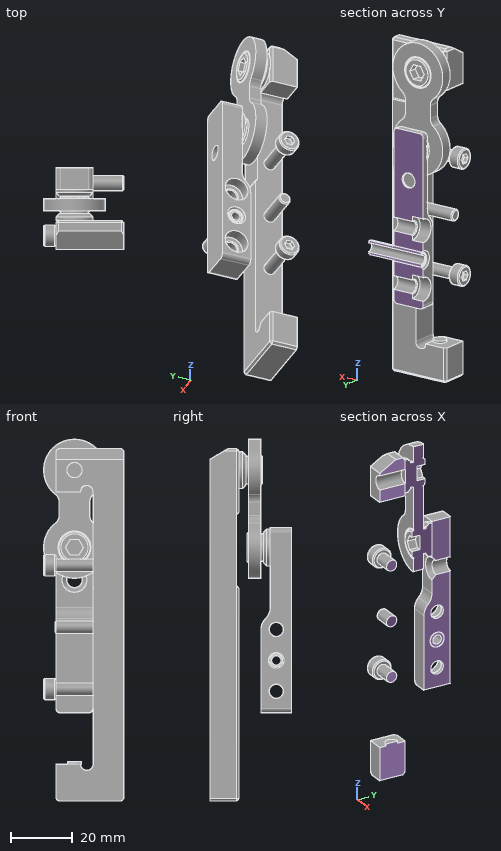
import cadquery as cq
import math


HALF_WIDTH = 6.0
LINK_PITCH = 25.0
LINK_GAP = 3.0

FRAME_RIGHT = 16.0
FRAME_DEPTH = 9.5
FRAME_TOP = 7.0
FRAME_BOTTOM = -107.0
UPPER_JAW_Z = -7.0
LOWER_JAW_Z = -95.0
RELIEF_RADIUS = 2.0
FRAME_CHAMFER = 0.8
BEVEL_DEPTH = 6.0
BEVEL_HEIGHT = 3.5
RECESS_DEPTH = 0.8
RECESS_CENTER_Z = -25.9
RECESS_LENGTH = 23.0
JAW_STUD_DIAMETER = 4.5
JAW_STUD_HEIGHT = 0.75
M6_CORE = 4.92

LINK_THICKNESS = 4.0
LINK_RADIUS = 10.0
LINK_NECK_WIDTH = 10.0
LINK_FILLET = 3.0
LINK_FRONT = FRAME_DEPTH + LINK_GAP
LINK_BACK = LINK_FRONT + LINK_THICKNESS

COLLAR_DIAMETER = 12.0
COLLAR_CHAMFER = 1.1
COLLAR_HEIGHT = 2.2
STUD_NECK_DIAMETER = 9.0
HEAD_DIAMETER = 10.0
HEAD_HEIGHT = 0.5
HEAD_CHAMFER = 0.6
RIM_CHAMFER = 0.3
STUD_HEX = 5.0
STUD_HEX_DEPTH = 3.0

CARRIER_FRONT = LINK_BACK
CARRIER_BACK = 26.5
CARRIER_UPPER_FRONT = LINK_BACK + LINK_GAP
CARRIER_HEIGHT = 60.0
CARRIER_BOTTOM = -78.5
CARRIER_TOP = CARRIER_BOTTOM + CARRIER_HEIGHT
CARRIER_CORNER = 1.5
STEP_MIDDLE_Z = -48.0
STEP_ANGLE = math.radians(45)
CARRIER_AXIS_Y = (CARRIER_FRONT + CARRIER_BACK) / 2
CARRIER_HOLE_MARGIN = 7.0
CARRIER_HOLE_PITCH = 10.0
BOLT_CLEARANCE = 4.5
COUNTERBORE_DIAMETER = 8.0
COUNTERBORE_DEPTH = 4.4
BOLT_HOLE_CHAMFER = 0.3
SPARE_HOLE_DROP = 17.0
SPARE_COUNTERSINK = 8.0

FRAME_SCREW_Y = 4.5
FRAME_SCREW_Z = -50.78
FRAME_SCREW_PITCH = 20.0
M4 = 4.0
M4_CORE = 3.24
CAP_HEAD_DIAMETER = 7.0
CAP_HEAD_HEIGHT = 4.0
CAP_CHAMFER = 0.4
CAP_LENGTH = 16.0
CAP_SOCKET = 3.0
CAP_SOCKET_DEPTH = 1.5
CONE_HALF_ANGLE = math.radians(60)
M4_SET_LEFT = -6.3
M4_SET_RIGHT = 10.0
M5 = 5.0
M5_CORE = 4.13
M5_BORE = 3.0
M5_COUNTERSINK = 6.3
M5_SET_RIGHT = 16.0

CARRIER_SCREW_Z = CARRIER_BOTTOM + CARRIER_HOLE_MARGIN + CARRIER_HOLE_PITCH
M5_COUNTERSINK_DEPTH = (M5_COUNTERSINK - M5) / 2
BOLT_ROWS = (-1, 1)


def block(x0, x1, y0, y1, z0, z1):
    return cq.Workplane("XY").box(x1 - x0, y1 - y0, z1 - z0, centered=False).translate((x0, y0, z0))


def rod_x(diameter, x0, x1, y, z):
    """Cylinder along +X."""
    return cq.Workplane("YZ", origin=(x0, y, z)).circle(diameter / 2).extrude(x1 - x0)


def rod_y(diameter, y0, y1, x, z):
    """Cylinder along +Y."""
    return cq.Workplane("XZ", origin=(x, y0, z)).circle(diameter / 2).extrude(y0 - y1)


def hex_x(flats, x0, x1, y, z):
    """Hexagonal prism along +X with corners front and back."""
    corners = flats / math.cos(math.pi / 6)
    return cq.Workplane("YZ", origin=(x0, y, z)).polygon(6, corners).extrude(x1 - x0)


def cone(bottom_diameter, top_diameter, height, base, direction):
    base_point = cq.Vector(*base)
    axis = cq.Vector(*direction)
    return cq.Workplane(cq.Solid.makeCone(bottom_diameter / 2, top_diameter / 2, height, base_point, axis))


def make_frame():
    body = block(-HALF_WIDTH, FRAME_RIGHT, 0, FRAME_DEPTH, FRAME_BOTTOM, FRAME_TOP)
    body = body.edges("|Y or >Y").chamfer(FRAME_CHAMFER)

    opening = block(-HALF_WIDTH, HALF_WIDTH, 0, FRAME_DEPTH, LOWER_JAW_Z, UPPER_JAW_Z)
    for z in (LOWER_JAW_Z, UPPER_JAW_Z):
        opening = opening.union(rod_y(2 * RELIEF_RADIUS, 0, FRAME_DEPTH, HALF_WIDTH - RELIEF_RADIUS, z))
    body = body.cut(opening)

    bevel = (
        cq.Workplane("YZ", origin=(-HALF_WIDTH, 0, 0))
        .moveTo(0, FRAME_TOP)
        .lineTo(BEVEL_DEPTH, FRAME_TOP)
        .lineTo(0, FRAME_TOP - BEVEL_HEIGHT)
        .close()
        .extrude(FRAME_RIGHT + HALF_WIDTH)
    )
    body = body.cut(bevel)

    recess_bottom = RECESS_CENTER_Z - RECESS_LENGTH / 2
    recess_top = RECESS_CENTER_Z + RECESS_LENGTH / 2
    recess = (
        cq.Workplane("YZ", origin=(-HALF_WIDTH, 0, 0))
        .moveTo(FRAME_DEPTH, recess_bottom - RECESS_DEPTH)
        .lineTo(FRAME_DEPTH - RECESS_DEPTH, recess_bottom)
        .lineTo(FRAME_DEPTH - RECESS_DEPTH, recess_top)
        .lineTo(FRAME_DEPTH, recess_top + RECESS_DEPTH)
        .close()
        .extrude(FRAME_RIGHT + HALF_WIDTH)
    )
    body = body.cut(recess)

    body = body.cut(rod_y(M6_CORE, 0, FRAME_DEPTH, 0, 0))

    for row in BOLT_ROWS:
        z = FRAME_SCREW_Z + row * FRAME_SCREW_PITCH
        body = body.cut(rod_x(M4, HALF_WIDTH, CAP_LENGTH - HALF_WIDTH, FRAME_SCREW_Y, z))
    body = body.cut(rod_x(M4, HALF_WIDTH, M4_SET_RIGHT, FRAME_SCREW_Y, FRAME_SCREW_Z))

    jaw_stud = (
        cq.Workplane("XY", origin=(0, FRAME_SCREW_Y, LOWER_JAW_Z))
        .circle(JAW_STUD_DIAMETER / 2)
        .extrude(JAW_STUD_HEIGHT)
    )
    return body.union(jaw_stud)


def stud_profile():
    """Solid of revolution of one stud about +Y, from its collar face at Y = 0 to its head."""
    collar = COLLAR_DIAMETER / 2
    head = HEAD_DIAMETER / 2
    link_far_face = LINK_GAP + LINK_THICKNESS
    return (
        cq.Workplane("XY")
        .moveTo(0, 0)
        .lineTo(collar, 0)
        .lineTo(collar, COLLAR_HEIGHT - COLLAR_CHAMFER)
        .lineTo(collar - COLLAR_CHAMFER, COLLAR_HEIGHT)
        .lineTo(STUD_NECK_DIAMETER / 2, COLLAR_HEIGHT)
        .lineTo(STUD_NECK_DIAMETER / 2, LINK_GAP)
        .lineTo(head, LINK_GAP)
        .lineTo(head, link_far_face)
        .lineTo(head - HEAD_CHAMFER, link_far_face + HEAD_HEIGHT)
        .lineTo(0, link_far_face + HEAD_HEIGHT)
        .close()
        .revolve(360, (0, 0, 0), (0, 1, 0))
    )


def make_stud():
    """One stud along +Y and the hexagon socket to cut from its head."""
    head_face = LINK_GAP + LINK_THICKNESS + HEAD_HEIGHT
    socket = (
        cq.Workplane("XZ", origin=(0, head_face, 0))
        .polygon(6, STUD_HEX / math.cos(math.pi / 6))
        .extrude(STUD_HEX_DEPTH)
    )
    return stud_profile(), socket


def make_link():
    """Link plate and its two studs, which face opposite ways."""
    disc = rod_y(2 * LINK_RADIUS, LINK_FRONT, LINK_BACK, 0, 0)
    neck_half = LINK_NECK_WIDTH / 2
    neck = block(-neck_half, neck_half, LINK_FRONT, LINK_BACK, -LINK_PITCH, 0)
    plate = disc.union(disc.translate((0, 0, -LINK_PITCH))).union(neck)
    inner_corners = cq.selectors.BoxSelector(
        (-LINK_RADIUS, LINK_FRONT, -LINK_PITCH + neck_half), (LINK_RADIUS, LINK_BACK, -neck_half)
    )
    plate = plate.edges("|Y").edges(inner_corners).fillet(LINK_FILLET)

    rim = HEAD_DIAMETER + 2 * RIM_CHAMFER
    plate = plate.cut(cone(rim, HEAD_DIAMETER, RIM_CHAMFER, (0, LINK_BACK, 0), (0, -1, 0)))
    plate = plate.cut(cone(rim, HEAD_DIAMETER, RIM_CHAMFER, (0, LINK_FRONT, -LINK_PITCH), (0, 1, 0)))

    stud, socket = make_stud()
    upper_place = (0, FRAME_DEPTH, 0)
    lower_place = (0, CARRIER_UPPER_FRONT, -LINK_PITCH)
    body = plate.union(stud.translate(upper_place)).cut(socket.translate(upper_place))
    turned_stud = stud.rotate((0, 0, 0), (0, 0, 1), 180)
    turned_socket = socket.rotate((0, 0, 0), (0, 0, 1), 180)
    return body.union(turned_stud.translate(lower_place)).cut(turned_socket.translate(lower_place))


def make_carrier():
    step = CARRIER_UPPER_FRONT - CARRIER_FRONT
    step_radius = step / (2 * (1 - math.cos(STEP_ANGLE)))
    step_half = step_radius * math.sin(STEP_ANGLE)
    arc_middle_y = step_radius * (1 - math.cos(STEP_ANGLE / 2))
    arc_middle_z = step_half - step_radius * math.sin(STEP_ANGLE / 2)
    body = (
        cq.Workplane("YZ", origin=(-HALF_WIDTH, 0, 0))
        .moveTo(CARRIER_BACK, CARRIER_BOTTOM)
        .lineTo(CARRIER_BACK, CARRIER_TOP)
        .lineTo(CARRIER_UPPER_FRONT, CARRIER_TOP)
        .lineTo(CARRIER_UPPER_FRONT, STEP_MIDDLE_Z + step_half)
        .threePointArc(
            (CARRIER_UPPER_FRONT - arc_middle_y, STEP_MIDDLE_Z + arc_middle_z),
            (CARRIER_UPPER_FRONT - step / 2, STEP_MIDDLE_Z),
        )
        .threePointArc(
            (CARRIER_FRONT + arc_middle_y, STEP_MIDDLE_Z - arc_middle_z),
            (CARRIER_FRONT, STEP_MIDDLE_Z - step_half),
        )
        .lineTo(CARRIER_FRONT, CARRIER_BOTTOM)
        .close()
        .extrude(2 * HALF_WIDTH)
    )
    body = body.edges("|Y").fillet(CARRIER_CORNER)

    floor_x = COUNTERBORE_DEPTH - HALF_WIDTH
    chamfer_mouth = BOLT_CLEARANCE + 2 * BOLT_HOLE_CHAMFER
    for row in BOLT_ROWS:
        z = CARRIER_SCREW_Z + row * CARRIER_HOLE_PITCH
        body = body.cut(rod_x(BOLT_CLEARANCE, -HALF_WIDTH, HALF_WIDTH, CARRIER_AXIS_Y, z))
        body = body.cut(rod_x(COUNTERBORE_DIAMETER, -HALF_WIDTH, floor_x, CARRIER_AXIS_Y, z))
        floor_center = (floor_x, CARRIER_AXIS_Y, z)
        body = body.cut(cone(chamfer_mouth, BOLT_CLEARANCE, BOLT_HOLE_CHAMFER, floor_center, (1, 0, 0)))

    body = body.cut(rod_x(M5, -HALF_WIDTH, HALF_WIDTH, CARRIER_AXIS_Y, CARRIER_SCREW_Z))
    mouth = (-HALF_WIDTH, CARRIER_AXIS_Y, CARRIER_SCREW_Z)
    body = body.cut(cone(M5_COUNTERSINK, M5, M5_COUNTERSINK_DEPTH, mouth, (1, 0, 0)))

    spare_z = CARRIER_TOP - SPARE_HOLE_DROP
    body = body.cut(rod_y(M6_CORE, CARRIER_UPPER_FRONT, CARRIER_BACK, 0, spare_z))
    spare_sink = cone(
        SPARE_COUNTERSINK,
        M6_CORE,
        (SPARE_COUNTERSINK - M6_CORE) / 2,
        (0, CARRIER_UPPER_FRONT, spare_z),
        (0, 1, 0),
    )
    return body.cut(spare_sink)


def make_cap_screw(z):
    """M4 socket head cap screw along +X with a drilled hexagon socket."""
    head_left = -HALF_WIDTH - CAP_HEAD_HEIGHT
    head = rod_x(CAP_HEAD_DIAMETER, head_left, -HALF_WIDTH, FRAME_SCREW_Y, z).edges().chamfer(CAP_CHAMFER)
    shank = rod_x(M4, -HALF_WIDTH, CAP_LENGTH - HALF_WIDTH, FRAME_SCREW_Y, z)
    socket_floor = head_left + CAP_SOCKET_DEPTH
    socket = hex_x(CAP_SOCKET, head_left, socket_floor, FRAME_SCREW_Y, z)
    tip_height = CAP_SOCKET / 2 / math.tan(CONE_HALF_ANGLE)
    tip = cone(CAP_SOCKET, 0, tip_height, (socket_floor, FRAME_SCREW_Y, z), (1, 0, 0))
    return head.union(shank).cut(socket).cut(tip)


def make_m4_set_screw():
    body = rod_x(M4, M4_SET_LEFT, M4_SET_RIGHT, FRAME_SCREW_Y, FRAME_SCREW_Z)
    return body.faces("<X").chamfer((M4 - M4_CORE) / 2)


def make_m5_set_screw():
    """M5 screw with chamfered ends and a bore right through it."""
    left = -HALF_WIDTH + M5_COUNTERSINK_DEPTH
    body = rod_x(M5, left, M5_SET_RIGHT, CARRIER_AXIS_Y, CARRIER_SCREW_Z)
    body = body.faces("<X or >X").chamfer((M5 - M5_CORE) / 2)
    return body.cut(rod_x(M5_BORE, left, M5_SET_RIGHT, CARRIER_AXIS_Y, CARRIER_SCREW_Z))


frame = make_frame()
carrier = make_carrier()
link = make_link()
cap_screws = [make_cap_screw(FRAME_SCREW_Z + row * FRAME_SCREW_PITCH) for row in BOLT_ROWS]
m4_set_screw = make_m4_set_screw()
m5_set_screw = make_m5_set_screw()

result = cq.Compound.makeCompound(
    [
        frame.val(),
        carrier.val(),
        link.val(),
        *[screw.val() for screw in cap_screws],
        m4_set_screw.val(),
        m5_set_screw.val(),
    ]
)